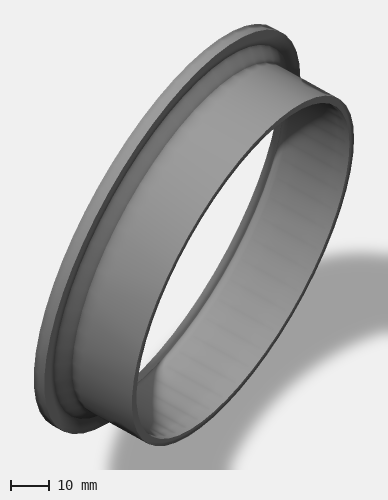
import cadquery as cq
import math

length = 25.4
flange_radius = 117.5 / 2
tube_outer_radius = 101.9 / 2
bore_radius = 97.6 / 2

flange_thickness = 3.3
neck_length = 3.4
neck_angle = math.radians(45)
neck_end = flange_thickness + neck_length
neck_large_radius = tube_outer_radius + neck_length * math.tan(neck_angle)

recess_mouth_radius = 53.9
recess_depth = 2.1
taper_angle = math.radians(15)
seat_radius = recess_mouth_radius - recess_depth * math.tan(taper_angle)

concave_radius = 1.5
crest_radius = seat_radius - concave_radius * math.cos(taper_angle)
concave_center_x = recess_depth - concave_radius * math.sin(taper_angle)
crest_x = concave_center_x + concave_radius
convex_radius = crest_radius - bore_radius
lead_in_end = crest_x + convex_radius
diagonal = math.sqrt(0.5)

profile = (
    cq.Workplane("XY")
    .moveTo(0, recess_mouth_radius)
    .lineTo(0, flange_radius)
    .lineTo(flange_thickness, flange_radius)
    .lineTo(flange_thickness, neck_large_radius)
    .lineTo(neck_end, tube_outer_radius)
    .lineTo(length, tube_outer_radius)
    .lineTo(length, bore_radius)
    .lineTo(lead_in_end, bore_radius)
    .threePointArc(
        (lead_in_end - convex_radius * diagonal, crest_radius - convex_radius * diagonal),
        (crest_x, crest_radius),
    )
    .threePointArc(
        (concave_center_x + concave_radius * diagonal, crest_radius + concave_radius * diagonal),
        (recess_depth, seat_radius),
    )
    .close()
)

result = profile.revolve(360, (0, 0, 0), (1, 0, 0))